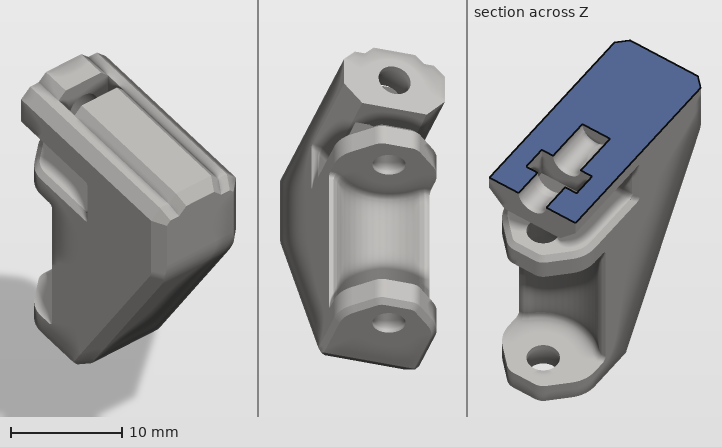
import cadquery as cq

length = 22.0
width = 9.5
height = 28.93
half_width = width / 2

toe_length = 10.1
slope_top = 20.1
back_chamfer = 1.0
back_bend_radius = 5.8
bend_ridge_radius = 2.3

beam_start = 1.3
beam_bottom = 22.57
beam_bottom_half_width = 3.05
beam_side_bottom = 24.35
shoulder_height = 28.12
shoulder_chamfer = 1.0
rib_half_width = 1.97
rib_base_half_width = rib_half_width + height - shoulder_height

hole_diameter = 3.0
bore_height = 25.72
bore_depth = 10.0
nut_slot_start = 4.3
nut_slot_length = 2.4
nut_slot_width = 5.5

lower_lug_top = 2.52
upper_lug_bottom = 17.53
upper_lug_top = 19.95
pin_x = 3.0
lug_corner_cut = 3.0
lug_front_radius = 1.33
lug_side_radius = 3.18

column_front = 6.02
column_edge_width = 0.45
column_bevel_depth = 0.25
column_bevel_width = 0.4
column_hollow_back = 7.95
window_back = 10.85

edge_chamfer = 0.5
inner_radius = 0.5
tolerance = 0.003


def slab(x_start, x_end, z_start, z_end, y_width=width):
    """Block centred on the XZ plane."""
    size = (x_end - x_start, y_width, z_end - z_start)
    return cq.Workplane("XY").box(*size, centered=(False, True, False)).translate((x_start, 0, z_start))


def mirrored_profile(right_side, x_start, x_end):
    """Prism along X from one half of a YZ section."""
    left_side = [(-y, z) for y, z in reversed(right_side)]
    return (
        cq.Workplane("YZ", origin=(x_start, 0, 0))
        .polyline(right_side + left_side)
        .close()
        .extrude(x_end - x_start)
    )


def edges_near(body, x_range, z_range, y_reach):
    """Edges whose centre lies in a box that is symmetric about the XZ plane."""
    low_corner = (x_range[0], -y_reach, z_range[0])
    high_corner = (x_range[1], y_reach, z_range[1])
    return body.edges(cq.selectors.BoxSelector(low_corner, high_corner))


def make_outer_body():
    """Side outline with the sloping back, narrowed at the top to the shoulders and rib."""
    side_outline = [(0, 0), (toe_length, 0), (length, slope_top), (length, height), (0, height)]
    body = cq.Workplane("XZ").polyline(side_outline).close().extrude(half_width, both=True)
    right_side = [
        (half_width, 0),
        (half_width, shoulder_height - shoulder_chamfer),
        (half_width - shoulder_chamfer, shoulder_height),
        (rib_base_half_width, shoulder_height),
        (rib_half_width, height),
    ]
    return body.intersect(mirrored_profile(right_side, 0, length))


def chamfer_back(body):
    """Chamfer the rim of the upright and sloping back faces."""
    back_faces = [face for face in body.faces().vals() if face.normalAt().x > 0.5]
    rim = []
    for face in back_faces:
        for edge in face.Edges():
            center = edge.Center()
            on_bend = abs(center.z - slope_top) < tolerance and abs(center.y) < tolerance
            if not on_bend:
                rim.append(edge)
    return body.newObject(rim).chamfer(back_chamfer)


def round_back_bend(body):
    """Round the chamfer ridges at the bend, then the bend itself."""
    x_range = (length - back_chamfer, length + tolerance)
    z_range = (slope_top - back_chamfer, slope_top + back_chamfer)
    body = edges_near(body, x_range, z_range, half_width).edges("not |Y").fillet(bend_ridge_radius)
    return edges_near(body, x_range, z_range, half_width).edges("|Y").fillet(back_bend_radius)


def make_lug_envelope():
    """Rounded, bevelled plan outline shared by both lugs, with its lower rim chamfered."""
    plan = (
        cq.Workplane("XY")
        .moveTo(length, -half_width)
        .lineTo(lug_corner_cut, -half_width)
        .lineTo(0, lug_corner_cut - half_width)
        .lineTo(0, half_width - lug_corner_cut)
        .lineTo(lug_corner_cut, half_width)
        .lineTo(length, half_width)
        .close()
        .extrude(upper_lug_top)
    )
    plan = plan.edges("|Z").edges("not(<X or >X)").fillet(lug_side_radius)
    plan = plan.edges("|Z").edges("<X").fillet(lug_front_radius)
    return plan.faces("<Z").edges("not >X").chamfer(edge_chamfer)


def make_window():
    """Gap between the upper lug and the tapered underside of the beam."""
    return mirrored_profile(
        [
            (half_width, upper_lug_top),
            (half_width, beam_side_bottom),
            (beam_bottom_half_width, beam_bottom),
        ],
        0,
        window_back,
    )


def make_column_gap():
    """Space between the lugs, with a hollow cut into the column behind them."""
    edge_y = half_width - column_edge_width
    hollow_x = column_front + column_bevel_depth
    hollow_y = edge_y - column_bevel_width
    gap = (
        cq.Workplane("XY", origin=(0, 0, lower_lug_top))
        .moveTo(0, -half_width)
        .lineTo(column_front, -half_width)
        .lineTo(column_front, -edge_y)
        .lineTo(hollow_x, -hollow_y)
        .threePointArc((column_hollow_back, 0), (hollow_x, hollow_y))
        .lineTo(column_front, edge_y)
        .lineTo(column_front, half_width)
        .lineTo(0, half_width)
        .close()
        .extrude(upper_lug_bottom - lower_lug_top)
    )
    back_rim = gap.faces("<Z or >Z").edges("not <X").edges("not(<Y or >Y)")
    return back_rim.fillet(inner_radius)


def chamfer_window(body):
    """Chamfer the rim of the upper lug and the upright side edges of the window."""
    rim = []
    for edge in body.edges().vals():
        center = edge.Center()
        on_lug_rim = abs(center.z - upper_lug_top) < tolerance and center.x < window_back - tolerance
        at_back = abs(center.x - window_back) < tolerance
        on_window_side = at_back and abs(abs(center.y) - half_width) < tolerance
        if on_lug_rim or on_window_side:
            rim.append(edge)
    return body.newObject(rim).chamfer(edge_chamfer)


def round_window(body):
    """Round the inner corners at the back of the window."""
    x_range = (window_back - tolerance, window_back + edge_chamfer)
    z_range = (upper_lug_top - edge_chamfer, beam_side_bottom)
    inner_corners = edges_near(body, x_range, z_range, half_width - tolerance).edges("not |Z")
    return inner_corners.fillet(inner_radius)


def make_nut_slot():
    slot_end = nut_slot_start + nut_slot_length
    return slab(nut_slot_start, slot_end, upper_lug_top, height, nut_slot_width)


def make_screw_bore():
    bore = cq.Workplane("YZ", origin=(beam_start, 0, bore_height))
    return bore.circle(hole_diameter / 2).extrude(bore_depth)


def make_pin_hole():
    return cq.Workplane("XY").center(pin_x, 0).circle(hole_diameter / 2).extrude(upper_lug_top)


body = round_back_bend(chamfer_back(make_outer_body()))
lug_waste = slab(0, length, 0, upper_lug_top).cut(make_lug_envelope())
nose_waste = slab(0, beam_start, upper_lug_top, height)
body = body.cut(lug_waste).cut(nose_waste)

body = body.cut(make_window())
body = round_window(chamfer_window(body))
body = body.cut(make_column_gap())

body = body.cut(make_nut_slot())
body = body.cut(make_screw_bore())
result = body.cut(make_pin_hole())